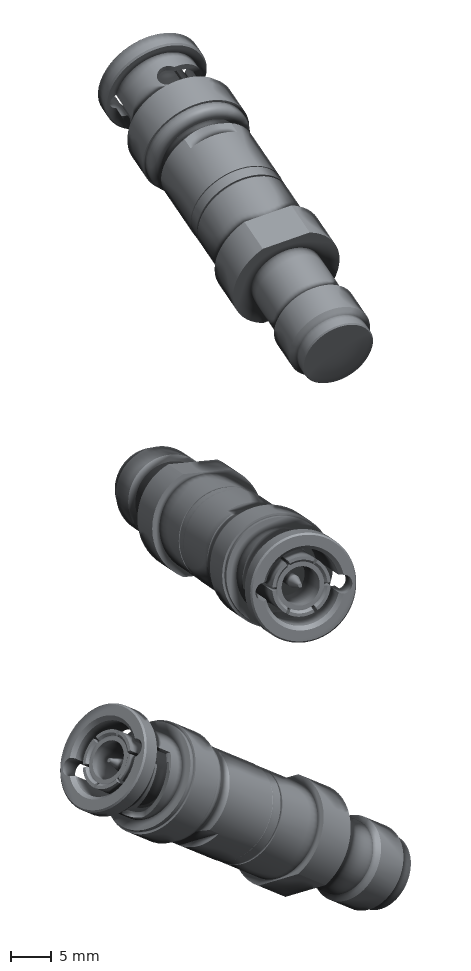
import cadquery as cq
import math

LENGTH = 53.0

NUT_END = 14.95
NUT_BORE_R = 4.9
MOUTH_R = 5.35
MOUTH_DEPTH = 0.55
TUBE_R = 5.6
RIM_R = 6.95
RIM_WIDTH = 2.35
RIM_CHAMFER = 0.2
GRIP_SHOULDER_START = 8.5
GRIP_START = 9.1
GRIP_END = 13.35
GRIP_R = 7.25
BACK_ROUND_R = 0.95
BACK_RECESS_R = 5.5
BACK_RECESS_DEPTH = 0.55

TRACK_WIDTH = 2.4
ENTRY_CENTRE_R = 5.15
ENTRY_END = 6.4
LATCH_X = 6.1
LATCH_R = 1.6
RAMP_ANGLE = 14.0

BARREL_START = 0.8
BARREL_R = 3.8
BARREL_BASE_R = 4.1
BARREL_TAPER = 0.25
BARREL_BASE = 8.5
BARREL_MOUTH_R = 3.4
BARREL_BORE_R = 3.1
BARREL_MOUTH_DEPTH = 0.3
CAVITY_R = 2.5
CAVITY_FLOOR = 6.35
NECK_R = 5.2
SHELL_START = 15.6
SHELL_R = 6.35
SHELL_BEVEL = 1.05
WRENCH_FLAT_Z = 5.5
WRENCH_FLAT_END = 18.35

SLIT_COUNT = 6
SLIT_WIDTH = 0.4
SLIT_END = 5.8

PIN_R = 0.8
PIN_TIP_R = 0.25
PIN_TIP_X = 1.25
PIN_CONE_LENGTH = 2.2

JOINT_X = 24.8
JOINT_CHAMFER = 0.1
JACK_SHELL_R = 6.3
GROOVE_START = 26.4
GROOVE_WIDTH = 0.3
GROOVE_DEPTH = 0.25
FLANGE_START = 33.4
FLANGE_END = 38.55
FLANGE_R = 7.25
FLANGE_FLAT_Z = 6.5
JACK_R = 4.8
COLLAR_START = 45.7
COLLAR_END = 51.3
COLLAR_R = 5.5
JACK_CHAMFER = 0.15


def revolve_about_x(profile):
    """Turn a closed profile, drawn as (x, radius), about the X axis."""
    return profile.close().revolve(360, (0, 0, 0), (1, 0, 0))


def turned(points):
    """Turn a straight-sided profile, given as (x, radius) points."""
    return revolve_about_x(cq.Workplane("XY").polyline(points))


def x_cylinder(radius, start, end, y=0.0):
    """Cylinder along X between two X positions."""
    return cq.Workplane("YZ", origin=(start, 0, 0)).center(y, 0).circle(radius).extrude(end - start)


def bayonet_track():
    """Axial entry on the +Y side, then a ramp leading up to the latch hole on the +Z side."""
    entry = x_cylinder(TRACK_WIDTH / 2, 0, ENTRY_END, ENTRY_CENTRE_R)
    latch = cq.Workplane("XY").center(LATCH_X, 0).circle(LATCH_R).extrude(GRIP_R)
    ramp_length = 2 * TUBE_R
    ramp_offset = LATCH_R - TRACK_WIDTH / 2
    ramp = (
        cq.Workplane("XY")
        .center(ramp_offset, ramp_length / 2)
        .rect(TRACK_WIDTH, ramp_length)
        .extrude(GRIP_R)
        .rotate((0, 0, 0), (0, 0, 1), RAMP_ANGLE)
        .translate((LATCH_X, 0, 0))
    )
    ramp_limit = cq.Workplane("XY").box(LENGTH, TUBE_R, GRIP_R, centered=(True, False, False))
    return entry.union(latch).union(ramp.intersect(ramp_limit))


def make_coupling_nut():
    rim_edge_r = RIM_R - RIM_CHAMFER
    recess_floor = NUT_END - BACK_RECESS_DEPTH
    round_start = NUT_END - BACK_ROUND_R
    diagonal = BACK_ROUND_R * math.sqrt(0.5)
    round_middle = (round_start + diagonal, RIM_R - BACK_ROUND_R + diagonal)
    nut = revolve_about_x(
        cq.Workplane("XY")
        .moveTo(0, MOUTH_R)
        .lineTo(0, rim_edge_r)
        .lineTo(RIM_CHAMFER, RIM_R)
        .lineTo(RIM_WIDTH - RIM_CHAMFER, RIM_R)
        .lineTo(RIM_WIDTH, rim_edge_r)
        .lineTo(RIM_WIDTH, TUBE_R)
        .lineTo(GRIP_SHOULDER_START, TUBE_R)
        .lineTo(GRIP_SHOULDER_START, RIM_R)
        .lineTo(GRIP_START, RIM_R)
        .lineTo(GRIP_START, GRIP_R)
        .lineTo(GRIP_END, GRIP_R)
        .lineTo(GRIP_END, RIM_R)
        .lineTo(round_start, RIM_R)
        .threePointArc(round_middle, (NUT_END, RIM_R - BACK_ROUND_R))
        .lineTo(NUT_END, BACK_RECESS_R)
        .lineTo(recess_floor, BACK_RECESS_R)
        .lineTo(recess_floor, NUT_BORE_R)
        .lineTo(MOUTH_DEPTH, NUT_BORE_R)
    )
    for angle in (0, 180):
        nut = nut.cut(bayonet_track().rotate((0, 0, 0), (1, 0, 0), angle))
    return nut


def flat_cutter(start, end, flat_z):
    """Blocks that leave two flats at +Z and -Z between two X positions."""
    length = end - start
    above = cq.Workplane("XY").box(length, 2 * FLANGE_R, FLANGE_R, centered=(False, True, False))
    above = above.translate((start, 0, flat_z))
    return above.union(above.mirror("XY"))


def barrel_slits():
    """Radial slits spaced evenly round the barrel wall, outside the insulator."""
    slits = cq.Workplane("XY")
    for index in range(SLIT_COUNT):
        slit = cq.Workplane("XY").box(SLIT_END, BARREL_R, SLIT_WIDTH, centered=(False, False, True))
        slits = slits.union(slit.rotate((0, 0, 0), (1, 0, 0), index * 360 / SLIT_COUNT))
    return slits.cut(x_cylinder(BARREL_BORE_R, 0, SLIT_END))


def make_plug_body():
    neck_start = NUT_END - BACK_RECESS_DEPTH
    barrel_face = BARREL_START + BARREL_MOUTH_DEPTH
    body = turned([
        (JOINT_X, 0),
        (PIN_TIP_X, 0),
        (PIN_TIP_X, PIN_TIP_R),
        (PIN_TIP_X + PIN_CONE_LENGTH, PIN_R),
        (CAVITY_FLOOR, PIN_R),
        (CAVITY_FLOOR, CAVITY_R),
        (barrel_face, CAVITY_R),
        (barrel_face, BARREL_BORE_R),
        (BARREL_START, BARREL_MOUTH_R),
        (BARREL_START, BARREL_R),
        (BARREL_BASE - BARREL_TAPER, BARREL_R),
        (BARREL_BASE, BARREL_BASE_R),
        (BARREL_BASE, NUT_BORE_R),
        (neck_start, NUT_BORE_R),
        (neck_start, NECK_R),
        (SHELL_START, NECK_R),
        (SHELL_START, SHELL_R - SHELL_BEVEL),
        (SHELL_START + SHELL_BEVEL, SHELL_R),
        (JOINT_X, SHELL_R),
    ])
    return body.cut(flat_cutter(SHELL_START, WRENCH_FLAT_END, WRENCH_FLAT_Z)).cut(barrel_slits())


def make_jack_body():
    groove_end = GROOVE_START + GROOVE_WIDTH
    groove_r = JACK_SHELL_R - GROOVE_DEPTH
    collar_bevel = COLLAR_R - JACK_R
    body = turned([
        (JOINT_X, 0),
        (JOINT_X, JACK_SHELL_R - JOINT_CHAMFER),
        (JOINT_X + JOINT_CHAMFER, JACK_SHELL_R),
        (GROOVE_START, JACK_SHELL_R),
        (GROOVE_START, groove_r),
        (groove_end, groove_r),
        (groove_end, JACK_SHELL_R),
        (FLANGE_START, JACK_SHELL_R),
        (FLANGE_START, FLANGE_R),
        (FLANGE_END, FLANGE_R),
        (FLANGE_END, JACK_R),
        (COLLAR_START, JACK_R),
        (COLLAR_START + collar_bevel, COLLAR_R),
        (COLLAR_END - collar_bevel, COLLAR_R),
        (COLLAR_END, JACK_R),
        (LENGTH - JACK_CHAMFER, JACK_R),
        (LENGTH, JACK_R - JACK_CHAMFER),
        (LENGTH, 0),
    ])
    return body.cut(flat_cutter(FLANGE_START, FLANGE_END, FLANGE_FLAT_Z))


coupling_nut = make_coupling_nut()
plug_body = make_plug_body()
jack_body = make_jack_body()

result = cq.Compound.makeCompound([
    coupling_nut.solids().val(),
    plug_body.solids().val(),
    jack_body.solids().val(),
])